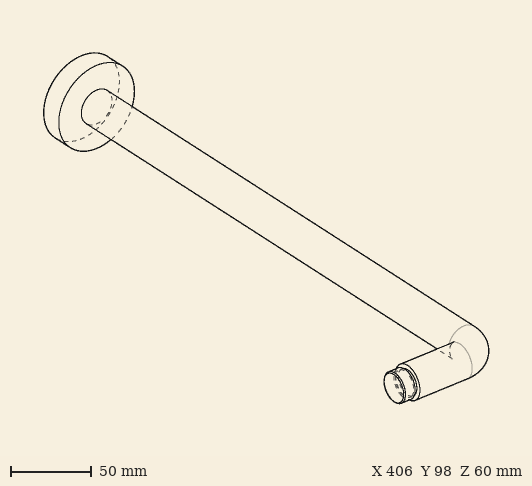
import cadquery as cq

length = 406.0
flange_diameter = 60.0
flange_thickness = 15.0
tip_drop = 68.0

tube_diameter = 24.5
bend_radius = 15.5

collar_diameter = 21.0
collar_length = 8.5
collar_chamfer = 1.0
neck_diameter = 18.3
neck_length = 2.5

outlet_x = length - tube_diameter / 2
bend_start_x = outlet_x - bend_radius
collar_start_y = -tip_drop + collar_length
tube_end_y = collar_start_y + neck_length


def make_flange():
    """Round wall plate in the YZ plane, centred on the arm axis."""
    return cq.Workplane("YZ").circle(flange_diameter / 2).extrude(flange_thickness)


def make_tube():
    """Solid round arm running along +X, then bending to -Y."""
    path = (
        cq.Workplane("XY")
        .moveTo(0, 0)
        .lineTo(bend_start_x, 0)
        .tangentArcPoint((outlet_x, -bend_radius), relative=False)
        .lineTo(outlet_x, tube_end_y)
    )
    return cq.Workplane("YZ").circle(tube_diameter / 2).sweep(path)


def outlet_cylinder(diameter, start_y, cylinder_length):
    """Cylinder on the outlet axis, extruded towards -Y from start_y."""
    plane = cq.Plane(origin=(outlet_x, start_y, 0), xDir=(1, 0, 0), normal=(0, -1, 0))
    return cq.Workplane(plane).circle(diameter / 2).extrude(cylinder_length)


def make_nipple():
    """Neck and collar, with the collar's free edge chamfered."""
    neck = outlet_cylinder(neck_diameter, tube_end_y, neck_length)
    collar = outlet_cylinder(collar_diameter, collar_start_y, collar_length)
    collar = collar.faces("<Y").chamfer(collar_chamfer)
    return neck.union(collar)


result = make_flange().union(make_tube()).union(make_nipple())